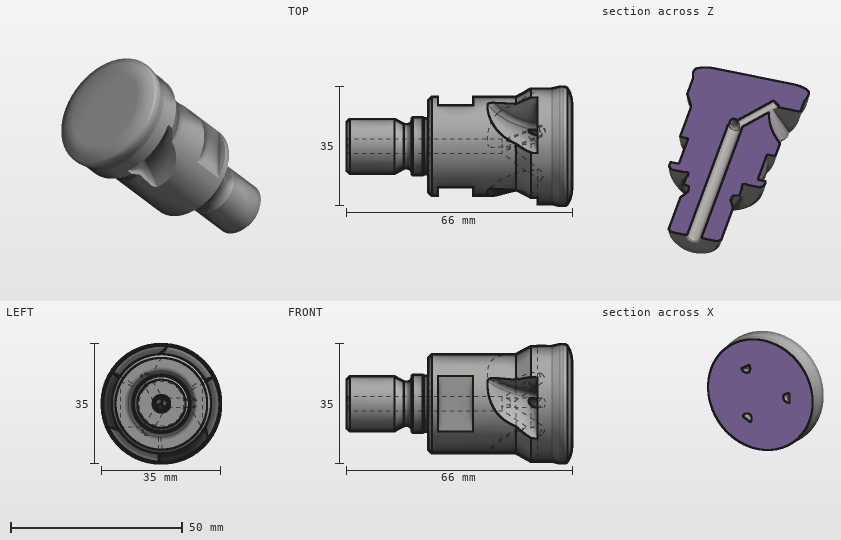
import cadquery as cq
import math

SHANK_RADIUS = 8.05
SHANK_CHAMFER = 1.0
SHANK_LENGTH = 14.0
NECK_RADIUS = 6.55
NECK_START = 16.8
NECK_CONE_END = 16.4
NECK_CONE_END_RADIUS = 6.75
NECK_END = 18.0
NECK_FILLET = 1.0
PILOT_RADIUS = 8.5
PILOT_CHAMFER = 0.4
PILOT_END = 22.2
RELIEF_START = 22.7
RELIEF_RADIUS = 8.25
UNDERCUT_START = 23.5
UNDERCUT_DEPTH = 0.2
UNDERCUT_INNER_RADIUS = 8.97
UNDERCUT_OUTER_RADIUS = 9.67

SHOULDER_X = 23.85
BODY_RADIUS = 14.5
BODY_CHAMFER = 1.1
BODY_END = 49.5
FLAT_START = 26.8
FLAT_END = 37.0
FLAT_DISTANCE = 24.0

HEAD_START = 53.9
HEAD_RADIUS = 16.95
FLARE_START = 60.1
RIM_START = 62.4
RIM_END = 63.3
RIM_RADIUS = 17.5
NOSE_START = 64.5
NOSE_START_RADIUS = 17.05
TOTAL_LENGTH = 65.98
END_FACE_RADIUS = 12.3

POCKET_COUNT = 3
POCKET_END = 55.86
WALL_ANGLE = 30.0
WALL_OFFSET = 0.9
WALL_SLOPE = 0.1
DISC_RADIUS = 21.0
DISC_CENTRE_X = 57.6
DISC_CENTRE_OUT = 27.7
DISC_THICKNESS = 25.0
DISC_FILLET = 1.4

BORE_RADIUS = 2.1
BORE_CHAMFER = 0.45
BORE_DEPTH = 45.4
COOLANT_RADIUS = 1.4
COOLANT_OFFSET = 0.25
COOLANT_ANGLE = 38.0
COOLANT_LENGTH = 15.0


def make_body():
    """Revolve the half profile (x, radius) about the X axis."""
    pilot_start = NECK_END + NECK_FILLET
    fillet_mid = NECK_FILLET * math.sqrt(0.5)
    nose_length = TOTAL_LENGTH - NOSE_START
    nose_rise = NOSE_START_RADIUS - END_FACE_RADIUS
    nose_radius = (nose_length**2 + nose_rise**2) / (2 * nose_length)
    return (
        cq.Workplane("XY")
        .moveTo(0, 0)
        .lineTo(0, SHANK_RADIUS - SHANK_CHAMFER)
        .lineTo(SHANK_CHAMFER, SHANK_RADIUS)
        .lineTo(SHANK_LENGTH, SHANK_RADIUS)
        .lineTo(NECK_CONE_END, NECK_CONE_END_RADIUS)
        .tangentArcPoint((NECK_START, NECK_RADIUS), relative=False)
        .lineTo(NECK_END, NECK_RADIUS)
        .threePointArc(
            (NECK_END + fillet_mid, NECK_RADIUS + NECK_FILLET - fillet_mid),
            (pilot_start, NECK_RADIUS + NECK_FILLET),
        )
        .lineTo(pilot_start, PILOT_RADIUS - PILOT_CHAMFER)
        .lineTo(pilot_start + PILOT_CHAMFER, PILOT_RADIUS)
        .lineTo(PILOT_END, PILOT_RADIUS)
        .lineTo(RELIEF_START, RELIEF_RADIUS)
        .lineTo(UNDERCUT_START, RELIEF_RADIUS)
        .tangentArcPoint((SHOULDER_X + UNDERCUT_DEPTH, UNDERCUT_INNER_RADIUS), relative=False)
        .lineTo(SHOULDER_X, UNDERCUT_OUTER_RADIUS)
        .lineTo(SHOULDER_X, BODY_RADIUS - BODY_CHAMFER)
        .lineTo(SHOULDER_X + BODY_CHAMFER, BODY_RADIUS)
        .lineTo(BODY_END, BODY_RADIUS)
        .lineTo(HEAD_START, HEAD_RADIUS)
        .lineTo(FLARE_START, HEAD_RADIUS)
        .lineTo(RIM_START, RIM_RADIUS)
        .lineTo(RIM_END, RIM_RADIUS)
        .tangentArcPoint((NOSE_START, NOSE_START_RADIUS), relative=False)
        .radiusArc((TOTAL_LENGTH, END_FACE_RADIUS), nose_radius)
        .lineTo(TOTAL_LENGTH, 0)
        .close()
        .revolve(360, (0, 0, 0), (1, 0, 0))
    )


def make_flats():
    """Two blocks that leave the wrench flats on the +Y and -Y sides."""
    length = FLAT_END - FLAT_START
    depth = BODY_RADIUS
    block = cq.Workplane("XY").box(length, depth, 2 * BODY_RADIUS)
    centre_x = (FLAT_START + FLAT_END) / 2
    centre_y = (FLAT_DISTANCE + depth) / 2
    return block.translate((centre_x, centre_y, 0)).union(block.translate((centre_x, -centre_y, 0)))


def make_pocket():
    """Pocket on the -Y side: a filleted disc, stopped at the flat end wall."""
    cos_a = math.cos(math.radians(WALL_ANGLE))
    sin_a = math.sin(math.radians(WALL_ANGLE))
    across = -WALL_OFFSET - WALL_SLOPE * (DISC_CENTRE_X - POCKET_END)
    centre = cq.Vector(
        DISC_CENTRE_X,
        -DISC_CENTRE_OUT * cos_a + across * sin_a,
        DISC_CENTRE_OUT * sin_a + across * cos_a,
    )
    outward = cq.Vector(0, -cos_a, sin_a)
    axis = cq.Vector(-WALL_SLOPE, -sin_a, -cos_a)
    disc = (
        cq.Workplane(cq.Plane(centre, outward, axis))
        .circle(DISC_RADIUS)
        .extrude(DISC_THICKNESS)
        .faces(cq.selectors.DirectionMinMaxSelector(axis, False))
        .edges()
        .fillet(DISC_FILLET)
    )
    size = 4 * (DISC_RADIUS + DISC_THICKNESS)
    limit = cq.Workplane("XY").box(size, size, size).translate((POCKET_END - size / 2, 0, 0))
    return disc.intersect(limit)


def make_bore():
    """Central coolant bore with a chamfered mouth."""
    return (
        cq.Workplane("XY")
        .lineTo(0, BORE_RADIUS + BORE_CHAMFER)
        .lineTo(BORE_CHAMFER, BORE_RADIUS)
        .lineTo(BORE_DEPTH, BORE_RADIUS)
        .lineTo(BORE_DEPTH, 0)
        .close()
        .revolve(360, (0, 0, 0), (1, 0, 0))
    )


def make_coolant_hole():
    """Slanted hole from the end of the bore, through the -Y pocket, ending in its end wall."""
    angle = math.radians(COOLANT_ANGLE)
    direction = cq.Vector(math.cos(angle), -math.sin(angle), 0)
    start = cq.Vector(BORE_DEPTH, 0, COOLANT_OFFSET)
    return cq.Workplane(cq.Solid.makeCylinder(COOLANT_RADIUS, COOLANT_LENGTH, start, direction))


result = make_body().cut(make_flats()).cut(make_bore())
pocket = make_pocket()
coolant_hole = make_coolant_hole()
for index in range(POCKET_COUNT):
    turn = -index * 360 / POCKET_COUNT
    result = result.cut(pocket.rotate((0, 0, 0), (1, 0, 0), turn))
    result = result.cut(coolant_hole.rotate((0, 0, 0), (1, 0, 0), turn))